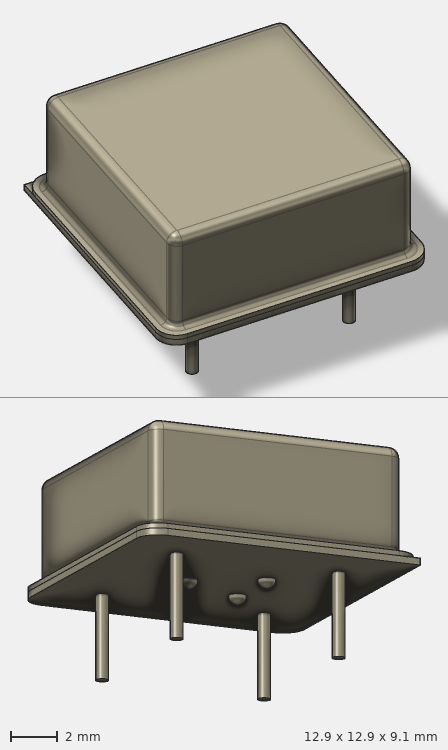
import cadquery as cq

base_side = 12.9
base_height = 0.31
base_corner_radius = 1.0

flange_height = 0.22
can_side = 11.75
can_corner_radius = 0.5
can_top_radius = 0.49
foot_radius = 0.3

total_height = 9.1
pin_length = 3.77
pin_diameter = 0.55
pin_pitch = 7.62
standoff_radius = 0.39
standoff_pitch = 2.99

flange_top = base_height + flange_height
can_top = total_height - pin_length
can_height = can_top - flange_top

standoff_points = [
    (-standoff_pitch / 2, -standoff_pitch / 2),
    (standoff_pitch / 2, -standoff_pitch / 2),
    (0, standoff_pitch / 2),
]


def make_base():
    """Plate with three rounded corners and a sharp one at -X, -Y."""
    plate = cq.Workplane("XY").rect(base_side, base_side).extrude(base_height)
    plate = plate.edges("|Z and >X").fillet(base_corner_radius)
    return plate.edges("|Z and <X and >Y").fillet(base_corner_radius)


def make_lid():
    """Flange and can, with a concave fillet where the can meets the flange."""
    flange = (
        cq.Workplane("XY", origin=(0, 0, base_height))
        .rect(base_side, base_side)
        .extrude(flange_height)
        .edges("|Z")
        .fillet(base_corner_radius)
    )
    can = (
        cq.Workplane("XY", origin=(0, 0, flange_top))
        .rect(can_side, can_side)
        .extrude(can_height)
        .edges("|Z")
        .fillet(can_corner_radius)
        .faces(">Z")
        .edges()
        .fillet(can_top_radius)
    )
    can_reach = can_side / 2 + foot_radius / 2
    foot_zone = cq.selectors.BoxSelector(
        (-can_reach, -can_reach, flange_top - flange_height / 2),
        (can_reach, can_reach, flange_top + flange_height / 2),
    )
    return flange.union(can).edges(foot_zone).fillet(foot_radius)


def make_pin(x, y):
    """Round lead hanging from the underside of the base plate."""
    return cq.Workplane("XY", origin=(x, y, 0)).circle(pin_diameter / 2).extrude(-pin_length)


def make_standoff(x, y):
    """Hemisphere hanging from the underside of the base plate."""
    profile = (
        cq.Workplane("XZ", origin=(x, y, 0))
        .moveTo(0, -standoff_radius)
        .radiusArc((standoff_radius, 0), -standoff_radius)
        .lineTo(0, 0)
        .close()
    )
    return profile.revolve(360, (0, 0), (0, 1))


base = make_base()
lid = make_lid()

pins = []
for pin_x in (-pin_pitch / 2, pin_pitch / 2):
    for pin_y in (-pin_pitch / 2, pin_pitch / 2):
        pins.append(make_pin(pin_x, pin_y).val())

standoffs = []
for standoff_x, standoff_y in standoff_points:
    standoffs.append(make_standoff(standoff_x, standoff_y).val())

result = cq.Compound.makeCompound([base.val(), lid.val(), *pins, *standoffs])